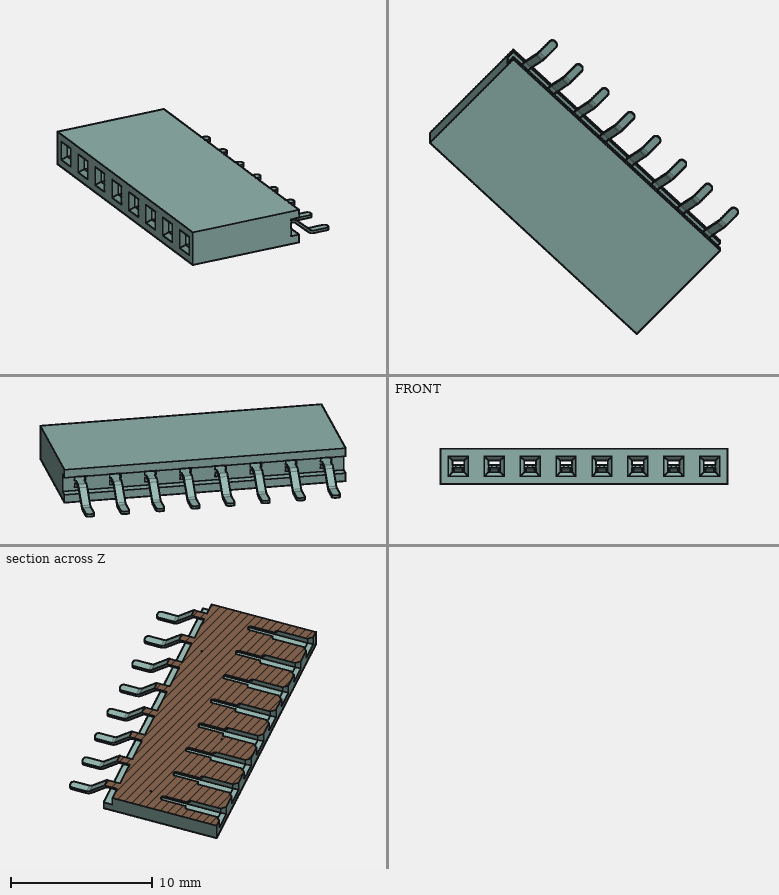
import cadquery as cq
import math

contact_count = 8
housing_length = 20.32
housing_depth = 8.53
housing_height = 2.52
pitch = housing_length / contact_count
mid_height = housing_height / 2

channel_height = 1.3
channel_depth = 0.65
channel_floor_y = housing_depth - channel_depth

socket_mouth = 1.4
socket_width = 0.81
lead_in_depth = 0.33

sheet_thickness = 0.2
tail_width = 0.6
tail_reach = 2.97
tail_tip_radius = 0.25
bend_radius = 0.45
upper_bend_offset = 0.16
ramp_length = 1.32
upper_bend_y = housing_depth + upper_bend_offset
lower_bend_y = upper_bend_y + ramp_length

fork_width = 1.02
fork_tip_y = 2.44
fork_mouth = 0.93
fork_throat = 0.35
fork_slit_length = 2.03

contact_positions = [(i - (contact_count - 1) / 2) * pitch for i in range(contact_count)]


def make_housing():
    """Plain block with an open channel along its back face."""
    block = cq.Workplane("XY").box(
        housing_length, housing_depth, housing_height, centered=(True, False, False)
    )
    channel = (
        cq.Workplane("XY")
        .box(housing_length, channel_depth, channel_height, centered=(True, False, True))
        .translate((0, channel_floor_y, mid_height))
    )
    return block.cut(channel)


def make_socket():
    """Square through passage with a pyramidal lead-in at the front."""
    front = cq.Workplane("XZ", origin=(0, 0, mid_height))
    passage = front.rect(socket_width, socket_width).extrude(-channel_floor_y)
    lead_in = (
        front.rect(socket_mouth, socket_mouth)
        .workplane(offset=-lead_in_depth)
        .rect(socket_width, socket_width)
        .loft(ruled=True)
    )
    return passage.union(lead_in)


def make_fork():
    """Flat plate with a round-bottomed slit that flares open towards the front."""
    plate = (
        cq.Workplane("XY", origin=(0, fork_tip_y, mid_height))
        .box(fork_width, channel_floor_y - fork_tip_y, sheet_thickness, centered=(True, False, True))
    )
    half_mouth = fork_mouth / 2
    half_throat = fork_throat / 2
    flare_radius = half_mouth - half_throat
    throat_y = fork_tip_y + flare_radius
    slit_end_y = fork_tip_y + fork_slit_length
    slit = (
        cq.Workplane("XY", origin=(0, 0, mid_height))
        .moveTo(half_throat, slit_end_y)
        .threePointArc((0, slit_end_y + half_throat), (-half_throat, slit_end_y))
        .lineTo(-half_throat, throat_y)
        .radiusArc((-half_mouth, fork_tip_y), -flare_radius)
        .lineTo(half_mouth, fork_tip_y)
        .radiusArc((half_throat, throat_y), -flare_radius)
        .close()
        .extrude(sheet_thickness, both=True)
    )
    return plate.cut(slit)


def make_tail():
    """Strip leaving the channel, bent down to the seating plane and out to a rounded tip."""
    upper_z = mid_height
    lower_z = sheet_thickness / 2
    slope = math.atan2(upper_z - lower_z, lower_bend_y - upper_bend_y)
    setback = bend_radius * math.tan(slope / 2)
    setback_y = setback * math.cos(slope)
    setback_z = setback * math.sin(slope)
    centre_line = (
        cq.Workplane("YZ")
        .moveTo(channel_floor_y, upper_z)
        .lineTo(upper_bend_y - setback, upper_z)
        .tangentArcPoint((upper_bend_y + setback_y, upper_z - setback_z), relative=False)
        .lineTo(lower_bend_y - setback_y, lower_z + setback_z)
        .tangentArcPoint((lower_bend_y + setback, lower_z), relative=False)
        .lineTo(housing_depth + tail_reach, lower_z)
    )
    strip = (
        cq.Workplane("XZ", origin=(0, channel_floor_y, upper_z))
        .rect(tail_width, sheet_thickness)
        .sweep(centre_line)
    )
    return strip.faces(">Y").edges("|Z").fillet(tail_tip_radius)


socket = make_socket()
contact = make_fork().union(make_tail())

result = make_housing()
for x in contact_positions:
    result = result.cut(socket.translate((x, 0, 0)))
for x in contact_positions:
    result = result.union(contact.translate((x, 0, 0)))